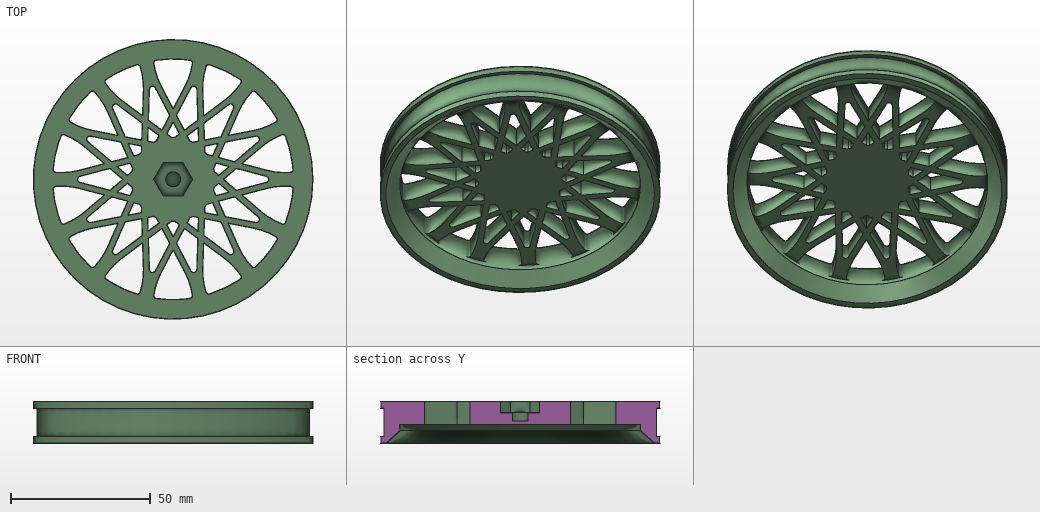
import cadquery as cq
import math

outer_radius = 50.0
total_height = 15.0
flange_thickness = 2.5
groove_depth = 1.2
inner_radius = 43.0
bottom_bevel_width = 5.0
bottom_bevel_height = 4.5

web_thickness = 8.3
web_bottom = total_height - web_thickness
hub_radius = 15.0

spoke_pairs = 14
pair_pitch = 360.0 / spoke_pairs
spoke_width = 2.2
spoke_offset = 10.6
spoke_lean = 27.6
flare_radius = 25.0
flare_start = 9.2
rim_corner_radius = 1.0
kite_tip_radius = 1.1

hex_across_flats = 12.0
hex_depth = 4.0
bore_diameter = 5.3
bore_depth = 3.0

near_edge = spoke_offset - spoke_width / 2
far_edge = spoke_offset + spoke_width / 2


def spoke_edge(axis_angle, side, offset):
    """Edge line of a spoke as (normal angle in radians, distance from the wheel centre)."""
    return math.radians(axis_angle + side * (90.0 - spoke_lean)), offset


def crossing(edge_a, edge_b):
    """Point where two spoke edges meet."""
    angle_a, offset_a = edge_a
    angle_b, offset_b = edge_b
    spread = math.sin(angle_b - angle_a)
    x = (offset_a * math.sin(angle_b) - offset_b * math.sin(angle_a)) / spread
    y = (offset_b * math.cos(angle_a) - offset_a * math.cos(angle_b)) / spread
    return x, y


def web_plane():
    return cq.Workplane("XY").workplane(offset=web_bottom)


def make_rim():
    groove_radius = outer_radius - groove_depth
    groove_top = total_height - flange_thickness
    profile = [
        (inner_radius, total_height),
        (outer_radius, total_height),
        (outer_radius, groove_top),
        (groove_radius, groove_top),
        (groove_radius, flange_thickness),
        (outer_radius, flange_thickness),
        (outer_radius, 0),
        (inner_radius + bottom_bevel_width, 0),
        (inner_radius, bottom_bevel_height),
    ]
    return cq.Workplane("XZ").polyline(profile).close().revolve(360, (0, 0, 0), (0, 1, 0))


def make_rim_window():
    """Large opening outside a spoke crossing, with flared sides, ending at the rim."""
    lean = math.radians(spoke_lean)
    apex = crossing(spoke_edge(0, 1, far_edge), spoke_edge(0, -1, far_edge))
    bend_x = apex[0] + flare_start * math.cos(lean)
    bend_y = flare_start * math.sin(lean)

    def flare_point(angle):
        x = bend_x + flare_radius * (math.sin(lean) - math.sin(angle))
        y = bend_y + flare_radius * (math.cos(angle) - math.cos(lean))
        return x, y

    mid_x, mid_y = flare_point(lean / 2)
    end_x, end_y = flare_point(0)
    window = (
        web_plane()
        .moveTo(*apex)
        .lineTo(bend_x, bend_y)
        .threePointArc((mid_x, mid_y), (end_x, end_y))
        .lineTo(end_x, -end_y)
        .threePointArc((mid_x, -mid_y), (bend_x, -bend_y))
        .close()
        .extrude(web_thickness)
    )
    inside_rim = web_plane().circle(inner_radius).extrude(web_thickness)
    rim_corners = cq.selectors.BoxSelector(
        ((bend_x + inner_radius) / 2, -inner_radius, 0),
        (outer_radius, inner_radius, total_height),
    )
    return window.intersect(inside_rim).edges("|Z").edges(rim_corners).fillet(rim_corner_radius)


def make_kite_window():
    """Opening between two neighbouring spoke pairs, with a rounded outer tip."""
    half = pair_pitch / 2
    right_outer = spoke_edge(-half, -1, near_edge)
    left_outer = spoke_edge(half, 1, near_edge)
    right_inner = spoke_edge(-half, 1, far_edge)
    left_inner = spoke_edge(half, -1, far_edge)
    corners = [
        crossing(right_outer, left_outer),
        crossing(left_outer, left_inner),
        crossing(left_inner, right_inner),
        crossing(right_inner, right_outer),
    ]
    window = web_plane().polyline(corners).close().extrude(web_thickness)
    window = window.edges("|Z").edges(">X").fillet(kite_tip_radius)
    return window.rotate((0, 0, 0), (0, 0, 1), half)


def make_hub_window():
    """Small opening inside a spoke crossing, ending at the round hub."""
    left_edge = spoke_edge(0, 1, near_edge)
    right_edge = spoke_edge(0, -1, near_edge)
    next_left = spoke_edge(pair_pitch, -1, far_edge)
    next_right = spoke_edge(-pair_pitch, 1, far_edge)
    corners = [
        crossing(right_edge, left_edge),
        crossing(left_edge, next_left),
        crossing(next_left, next_right),
        crossing(next_right, right_edge),
    ]
    window = web_plane().polyline(corners).close().extrude(web_thickness)
    hub = web_plane().circle(hub_radius).extrude(web_thickness)
    return window.cut(hub)


def make_web():
    web = web_plane().circle(inner_radius).extrude(web_thickness)
    openings = []
    for window in (make_rim_window(), make_kite_window(), make_hub_window()):
        for index in range(spoke_pairs):
            angle = 90.0 + index * pair_pitch
            openings.append(window.rotate((0, 0, 0), (0, 0, 1), angle).val())
    return web.cut(cq.Workplane(cq.Compound.makeCompound(openings)))


def cut_hub_recesses(body):
    hex_across_corners = hex_across_flats / math.cos(math.radians(30))
    body = body.faces(">Z").workplane(origin=(0, 0, total_height))
    body = body.polygon(6, hex_across_corners).cutBlind(-hex_depth)
    bore = (
        cq.Workplane("XY")
        .workplane(offset=total_height - hex_depth - bore_depth)
        .circle(bore_diameter / 2)
        .extrude(bore_depth)
    )
    return body.cut(bore)


result = cut_hub_recesses(make_rim().union(make_web()))